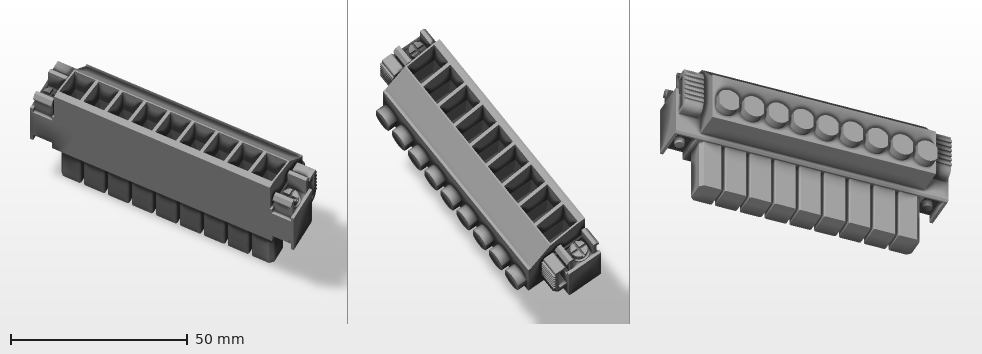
import cadquery as cq
import math

POLES = 9
PITCH = 7.6
POLE_XS = [(i - (POLES - 1) / 2) * PITCH for i in range(POLES)]

LENGTH = 83.8
HEIGHT = 41.15
BODY_LENGTH = POLES * PITCH
BODY_DEPTH = 20.0
BODY_BOTTOM = 16.9
TOP_FLAT = 2.5
RIDGE_Y = 12.3
RIDGE_Z = 38.7
SHOULDER_Z = 31.85
SHOULDER_FLAT = 0.8
FLANGE_DEPTH = 11.4
FLANGE_BOTTOM = 15.4
FLANGE_TOP = 30.85
FLANGE_CHAMFER = 0.6

FOOT_WIDTH = 6.7
FOOT_FRONT = 2.5
FOOT_BACK = 10.2
FOOT_CHAMFER = 0.3
END_FOOT_CHAMFER = 1.1

FUNNEL_WIDTH = 6.6
FUNNEL_FRONT = 2.3
FUNNEL_BACK = 11.9
FUNNEL_INSET = 1.8
TAPER_TOP = 30.2
TAPER_SLOPE = 60.0
FUNNEL_FLOOR = TAPER_TOP - FUNNEL_INSET * math.tan(math.radians(TAPER_SLOPE))

COLLAR_RADIUS = 3.4
COLLAR_WIDTH = 6.0
COLLAR_LENGTH = 3.1
COLLAR_Z = 21.9

CLIP_OUTER_X = 41.0
CLIP_WIDTH = 5.8
CLIP_X = CLIP_OUTER_X - CLIP_WIDTH / 2
LEG_THICKNESS = 1.0
FRONT_LEG_Y = 1.0
REAR_LEG_Y = 9.3
CLIP_BOTTOM = 29.0
CLIP_FLOOR = 30.35
BEND_RADIUS = 0.25
HOOK_TOP = 37.1
HOOK_BOTTOM = 35.4
HOOK_LIP = 0.5
HOOK_BEVEL_DEPTH = 0.9
LEVER_THICKNESS = 1.25
LEVER_BACK = 15.4
LEVER_BOTTOM = 22.0
LEVER_TOP = 35.1
LEVER_TIP_Y = 11.65
LEVER_TIP_BEVEL_DEPTH = 0.5
LEVER_TIP_BEVEL_HEIGHT = 0.8
LEVER_TOP_FILLET = 0.5
LEVER_OUTER_RADIUS = 2.3
LEVER_INNER_RADIUS = 0.8
TEETH = 6
TOOTH_HEIGHT = 0.8
TOOTH_PITCH = 1.61
TOOTH_DEPTH = 0.6
TOP_TOOTH_Z = 33.5

SLOT_CLEARANCE = 0.25
SLOT_WIDTH = CLIP_WIDTH + SLOT_CLEARANCE
SLOT_X = CLIP_OUTER_X - SLOT_WIDTH / 2
RECESS_TOP = 18.0

SCREW_Y = 5.0
HEAD_RADIUS = 2.4
HEAD_TOP = 33.4
RIM_RADIUS = 3.0
RIM_TOP = 31.35
NECK_RADIUS = 2.8
SHANK_RADIUS = 1.6
SHANK_BOTTOM = 16.9
TIP_RADIUS = 1.4
TIP_BOTTOM = 16.2
CROSS_WIDTH = 0.75
CROSS_DEPTH = 1.1


def box(x_center, width, y_front, y_back, z_bottom, z_top):
    """Box centred on x_center, given by its limits in Y and Z."""
    return (cq.Workplane("XY")
            .box(width, y_back - y_front, z_top - z_bottom, centered=(True, False, False))
            .translate((x_center, y_front, z_bottom)))


def side_extrude(points, width):
    """Extrude an outline of (Y, Z) points symmetrically along X."""
    return cq.Workplane("YZ").polyline(points).close().extrude(width / 2, both=True)


def vertical_cylinder(x, y, radius, z_bottom, z_top):
    return (cq.Workplane("XY", origin=(x, y, z_bottom))
            .circle(radius).extrude(z_top - z_bottom))


def make_shell():
    """Sloped main body with the two lower flange blocks at its ends."""
    body = side_extrude([
        (0, FLANGE_BOTTOM),
        (FLANGE_DEPTH - FLANGE_CHAMFER, FLANGE_BOTTOM),
        (FLANGE_DEPTH, FLANGE_BOTTOM + FLANGE_CHAMFER),
        (FLANGE_DEPTH, BODY_BOTTOM),
        (BODY_DEPTH, BODY_BOTTOM),
        (BODY_DEPTH, SHOULDER_Z),
        (BODY_DEPTH - SHOULDER_FLAT, SHOULDER_Z),
        (RIDGE_Y, RIDGE_Z),
        (TOP_FLAT, HEIGHT),
        (0, HEIGHT),
    ], BODY_LENGTH)
    flange = side_extrude([
        (0, FLANGE_BOTTOM),
        (FLANGE_DEPTH - FLANGE_CHAMFER, FLANGE_BOTTOM),
        (FLANGE_DEPTH, FLANGE_BOTTOM + FLANGE_CHAMFER),
        (FLANGE_DEPTH, FLANGE_TOP),
        (0, FLANGE_TOP),
    ], LENGTH)
    return body.union(flange)


def make_foot(x):
    """Plug foot; the outer corners of the two end feet are cut back further."""
    foot = box(x, FOOT_WIDTH, FOOT_FRONT, FOOT_BACK, 0, FLANGE_BOTTOM)
    left_chamfer = END_FOOT_CHAMFER if x == POLE_XS[0] else FOOT_CHAMFER
    right_chamfer = END_FOOT_CHAMFER if x == POLE_XS[-1] else FOOT_CHAMFER
    foot = foot.faces("<X").edges("|Z").chamfer(left_chamfer)
    return foot.faces(">X").edges("|Z").chamfer(right_chamfer)


def make_funnel(x):
    """Cutter for a terminal opening: straight walls above a tapered bottom."""
    depth = FUNNEL_BACK - FUNNEL_FRONT
    y_center = (FUNNEL_BACK + FUNNEL_FRONT) / 2
    straight = box(x, FUNNEL_WIDTH, FUNNEL_FRONT, FUNNEL_BACK, TAPER_TOP, HEIGHT)
    taper = (cq.Workplane("XY", origin=(x, y_center, FUNNEL_FLOOR))
             .rect(FUNNEL_WIDTH - 2 * FUNNEL_INSET, depth - 2 * FUNNEL_INSET)
             .workplane(offset=TAPER_TOP - FUNNEL_FLOOR)
             .rect(FUNNEL_WIDTH, depth)
             .loft(ruled=True))
    return straight.union(taper)


def make_collar(x):
    """Round wire entry collar with flattened sides, on the back of the body."""
    back = BODY_DEPTH + COLLAR_LENGTH
    disc = (cq.Workplane("XZ", origin=(x, back, COLLAR_Z))
            .circle(COLLAR_RADIUS).extrude(COLLAR_LENGTH))
    sides = box(x, COLLAR_WIDTH, BODY_DEPTH, back, COLLAR_Z - COLLAR_RADIUS, COLLAR_Z + COLLAR_RADIUS)
    return disc.intersect(sides)


def make_flange_opening(side):
    """Cutter for the clip slot, lever passage, screw hole and bottom recess of one flange."""
    x = side * SLOT_X
    rear_leg_back = REAR_LEG_Y + LEG_THICKNESS
    slot = box(x, SLOT_WIDTH, 0, FLANGE_DEPTH, CLIP_BOTTOM, FLANGE_TOP)
    leg_passage = box(x, SLOT_WIDTH, REAR_LEG_Y, rear_leg_back, LEVER_BOTTOM, CLIP_BOTTOM)
    lever_passage = box(x, SLOT_WIDTH, REAR_LEG_Y, FLANGE_DEPTH,
                        LEVER_BOTTOM, LEVER_BOTTOM + LEVER_THICKNESS)
    screw_hole = vertical_cylinder(side * CLIP_X, SCREW_Y, SHANK_RADIUS, RECESS_TOP, CLIP_BOTTOM)
    recess = box(x, SLOT_WIDTH, 0, rear_leg_back, FLANGE_BOTTOM, RECESS_TOP)
    return slot.union(leg_passage).union(lever_passage).union(screw_hole).union(recess)


def make_housing():
    housing = make_shell()
    for x in POLE_XS:
        housing = housing.union(make_foot(x)).union(make_collar(x)).cut(make_funnel(x))
    for side in (-1, 1):
        housing = housing.cut(make_flange_opening(side))
    return housing


def make_hook_tray():
    """U-shaped tray whose two legs end in hooks that point away from each other."""
    front_inner = FRONT_LEG_Y + LEG_THICKNESS
    rear_outer = REAR_LEG_Y + LEG_THICKNESS
    front_tip = 0
    rear_tip = FLANGE_DEPTH
    hook_shoulder = HOOK_BOTTOM + HOOK_LIP
    tray = side_extrude([
        (FRONT_LEG_Y, CLIP_BOTTOM),
        (rear_outer, CLIP_BOTTOM),
        (rear_outer, HOOK_BOTTOM),
        (rear_tip, HOOK_BOTTOM),
        (rear_tip, hook_shoulder),
        (rear_tip - HOOK_BEVEL_DEPTH, HOOK_TOP),
        (REAR_LEG_Y, HOOK_TOP),
        (REAR_LEG_Y, CLIP_FLOOR),
        (front_inner, CLIP_FLOOR),
        (front_inner, HOOK_TOP),
        (front_tip + HOOK_BEVEL_DEPTH, HOOK_TOP),
        (front_tip, hook_shoulder),
        (front_tip, HOOK_BOTTOM),
        (FRONT_LEG_Y, HOOK_BOTTOM),
    ], CLIP_WIDTH)
    bends = cq.selectors.BoxSelector(
        (-CLIP_WIDTH, FRONT_LEG_Y, CLIP_FLOOR - BEND_RADIUS),
        (CLIP_WIDTH, rear_outer, CLIP_FLOOR + BEND_RADIUS))
    return tray.edges("|X").edges(bends).fillet(BEND_RADIUS)


def make_lever():
    """C-shaped finger lever, carried by a leg that runs down from the tray."""
    inner_back = LEVER_BACK - LEVER_THICKNESS
    floor = LEVER_BOTTOM + LEVER_THICKNESS
    rear_outer = REAR_LEG_Y + LEG_THICKNESS
    outline = (cq.Workplane("YZ")
               .moveTo(REAR_LEG_Y, CLIP_BOTTOM)
               .lineTo(REAR_LEG_Y, LEVER_BOTTOM)
               .lineTo(LEVER_BACK - LEVER_OUTER_RADIUS, LEVER_BOTTOM)
               .radiusArc((LEVER_BACK, LEVER_BOTTOM + LEVER_OUTER_RADIUS), -LEVER_OUTER_RADIUS)
               .lineTo(LEVER_BACK, LEVER_TOP - LEVER_TOP_FILLET)
               .radiusArc((LEVER_BACK - LEVER_TOP_FILLET, LEVER_TOP), -LEVER_TOP_FILLET)
               .lineTo(LEVER_TIP_Y + LEVER_TIP_BEVEL_DEPTH, LEVER_TOP)
               .lineTo(LEVER_TIP_Y, LEVER_TOP - LEVER_TIP_BEVEL_HEIGHT)
               .lineTo(LEVER_TIP_Y, LEVER_TOP - LEVER_THICKNESS)
               .lineTo(inner_back, LEVER_TOP - LEVER_THICKNESS)
               .lineTo(inner_back, floor + LEVER_INNER_RADIUS)
               .radiusArc((inner_back - LEVER_INNER_RADIUS, floor), LEVER_INNER_RADIUS)
               .lineTo(rear_outer, floor)
               .lineTo(rear_outer, CLIP_BOTTOM)
               .close())
    lever = outline.extrude(CLIP_WIDTH / 2, both=True)
    for i in range(TEETH):
        tooth_top = TOP_TOOTH_Z - i * TOOTH_PITCH
        lever = lever.union(box(0, CLIP_WIDTH, inner_back, LEVER_BACK + TOOTH_DEPTH,
                                tooth_top - TOOTH_HEIGHT, tooth_top))
    return lever


def make_clip(side):
    clip = make_hook_tray().union(make_lever()).translate((side * CLIP_X, 0, 0))
    return clip.cut(vertical_cylinder(side * CLIP_X, SCREW_Y, SHANK_RADIUS, CLIP_BOTTOM, CLIP_FLOOR))


def make_screw(side):
    """Cross-slotted screw with a stepped rim under its head."""
    x = side * CLIP_X
    screw = vertical_cylinder(x, SCREW_Y, NECK_RADIUS, CLIP_FLOOR, FLANGE_TOP)
    screw = screw.union(vertical_cylinder(x, SCREW_Y, RIM_RADIUS, FLANGE_TOP, RIM_TOP))
    screw = screw.union(vertical_cylinder(x, SCREW_Y, HEAD_RADIUS, RIM_TOP, HEAD_TOP))
    screw = screw.union(vertical_cylinder(x, SCREW_Y, SHANK_RADIUS, SHANK_BOTTOM, CLIP_FLOOR))
    screw = screw.union(vertical_cylinder(x, SCREW_Y, TIP_RADIUS, TIP_BOTTOM, SHANK_BOTTOM))
    arm = cq.Workplane("XY").box(2 * HEAD_RADIUS, CROSS_WIDTH, CROSS_DEPTH, centered=(True, True, False))
    for angle in (0, 90):
        slot = arm.rotate((0, 0, 0), (0, 0, 1), angle).translate((x, SCREW_Y, HEAD_TOP - CROSS_DEPTH))
        screw = screw.cut(slot)
    return screw


housing = make_housing()
clips = [make_clip(side) for side in (-1, 1)]
screws = [make_screw(side) for side in (-1, 1)]

result = cq.Compound.makeCompound([
    housing.val(),
    *[clip.val() for clip in clips],
    *[screw.val() for screw in screws],
])